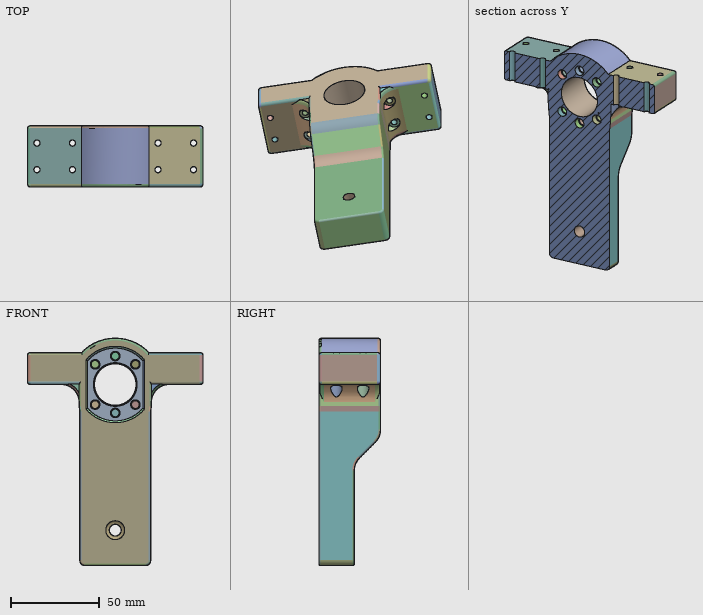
import cadquery as cq
import math

depth = 34.8
front_y = -depth / 2
back_y = depth / 2

arm_span = 99.0
arm_height = 18.0
arm_round = 1.5
arm_end_round = 1.9

head_radius = 26.2
neck_half_width = 20.4
neck_top_z = arm_height / 2
neck_bottom_z = -12.2
stem_half_width = 20.0
stem_top_z = -15.4
total_height = 128.2
stem_bottom_z = head_radius - total_height
stem_corner_radius = 3.0
stem_round = 1.0
head_round = 1.5

stem_thickness = 20.0
stem_back_y = front_y + stem_thickness
step_top_z = -29.6
step_bottom_z = step_top_z - (back_y - stem_back_y)
step_blend_radius = 10.0

web_radius = 10.0
web_half_depth = back_y - 0.6
web_flare_depth = 2.3
web_flare_height = 1.3

arm_hole_diameter = 3.3
arm_hole_inner_x = 24.1
arm_hole_outer_x = 44.1
arm_hole_y = 7.5
spotface_diameter = 6.5

bore_radius = 11.7
bore_chamfer = 0.6
pocket_half_width = 15.5
pocket_radius = 20.5
pocket_depth = 8.5
pocket_chamfer = 1.0
pocket_floor_y = front_y + pocket_depth
bolt_circle_radius = 16.0
bolt_hole_radius = 2.2
bolt_hole_depth = 11.5
bolt_counterbore_radius = 2.7
bolt_counterbore_depth = 5.1
bolt_angles = (45, 90, 135, 225, 270, 315)

mount_hole_height = 20.0
mount_hole_diameter = 6.5
mount_mouth_round = 2.0


def cylinder_y(radius, start_y, length, x=0.0, z=0.0):
    """Cylinder that runs from start_y toward +Y."""
    return cq.Workplane(cq.Solid.makeCylinder(radius, length, cq.Vector(x, start_y, z), cq.Vector(0, 1, 0)))


def cone_y(front_radius, back_radius, start_y, length):
    """Cone that runs from start_y toward +Y."""
    return cq.Workplane(
        cq.Solid.makeCone(front_radius, back_radius, length, cq.Vector(0, start_y, 0), cq.Vector(0, 1, 0))
    )


def make_head():
    """Top of the round head, down to the neck."""
    disc = cylinder_y(head_radius, front_y, depth).edges("%CIRCLE").fillet(head_round)
    keep = cq.Workplane(origin=(0, 0, neck_top_z)).box(
        2 * neck_half_width, depth, head_radius, centered=(True, True, False)
    )
    return disc.intersect(keep)


def make_stem():
    """Neck and stem, stepped at the back, with rounded front and back edges."""
    outline = (
        cq.Workplane("XZ", origin=(0, back_y, 0))
        .moveTo(-stem_half_width, stem_bottom_z)
        .lineTo(-stem_half_width, stem_top_z)
        .lineTo(-neck_half_width, neck_bottom_z)
        .lineTo(-neck_half_width, neck_top_z)
        .lineTo(neck_half_width, neck_top_z)
        .lineTo(neck_half_width, neck_bottom_z)
        .lineTo(stem_half_width, stem_top_z)
        .lineTo(stem_half_width, stem_bottom_z)
        .close()
        .extrude(depth)
        .faces("<Z")
        .edges("|Y")
        .fillet(stem_corner_radius)
    )
    relief = (
        cq.Workplane("YZ", origin=(-neck_half_width, 0, 0))
        .moveTo(back_y, step_top_z)
        .lineTo(stem_back_y, step_bottom_z)
        .lineTo(stem_back_y, stem_bottom_z)
        .lineTo(back_y, stem_bottom_z)
        .close()
        .extrude(2 * neck_half_width)
    )
    stem = outline.cut(relief)
    step_edges = cq.selectors.BoxSelector(
        (-1.3, stem_back_y - 1.3, step_bottom_z - 1.3), (1.3, back_y + 1.3, step_top_z + 1.3)
    )
    stem = stem.edges("|X").edges(step_edges).fillet(step_blend_radius)
    stem = stem.faces("<Y").edges().fillet(stem_round)
    return stem.faces(">Y").edges().fillet(stem_round)


def make_crossbar():
    bar = cq.Workplane().box(arm_span, depth, arm_height, centered=(True, True, False))
    bar = bar.edges("|Z").fillet(arm_end_round)
    return bar.faces("<Z or >Z").edges().fillet(arm_round)


def make_right_web():
    """Concave web in the corner under the +X arm, its curved edge eased toward the front and back."""
    size = web_radius + arm_round
    block = cq.Workplane().box(size, web_half_depth, size, centered=False).translate(
        (neck_half_width - arm_round, 0, -web_radius)
    )
    hollow = (
        cq.Workplane("XY")
        .lineTo(web_radius, 0)
        .lineTo(web_radius, web_half_depth - web_flare_depth)
        .tangentArcPoint((web_radius + web_flare_height, web_half_depth), relative=False)
        .lineTo(0, web_half_depth)
        .close()
        .revolve(360, (0, 0, 0), (0, 1, 0))
        .translate((neck_half_width + web_radius, 0, -web_radius))
    )
    half_web = block.cut(hollow)
    return half_web.union(half_web.mirror("XZ"))


def make_arm_holes():
    """Screw holes through both arms; the inner ones have spotfaces cut up through the webs."""
    columns = (-arm_hole_outer_x, -arm_hole_inner_x, arm_hole_inner_x, arm_hole_outer_x)
    rows = (-arm_hole_y, arm_hole_y)
    holes = (
        cq.Workplane()
        .pushPoints([(x, y) for x in columns for y in rows])
        .circle(arm_hole_diameter / 2)
        .extrude(arm_height)
    )
    spotfaces = (
        cq.Workplane()
        .pushPoints([(x, y) for x in (-arm_hole_inner_x, arm_hole_inner_x) for y in rows])
        .circle(spotface_diameter / 2)
        .extrude(-web_radius)
    )
    return holes.union(spotfaces)


def make_pocket():
    """Round pocket with two flat sides and a chamfered rim."""
    disc = cylinder_y(pocket_radius, front_y, pocket_depth)
    flats = cq.Workplane().box(2 * pocket_half_width, 2 * depth, 2 * head_radius)
    rim_disc = cone_y(pocket_radius + pocket_chamfer, pocket_radius, front_y, pocket_chamfer)
    rim_flats = (
        cq.Workplane("XY")
        .moveTo(-pocket_half_width - pocket_chamfer, front_y)
        .lineTo(pocket_half_width + pocket_chamfer, front_y)
        .lineTo(pocket_half_width, front_y + pocket_chamfer)
        .lineTo(-pocket_half_width, front_y + pocket_chamfer)
        .close()
        .extrude(head_radius, both=True)
    )
    return disc.intersect(flats).union(rim_disc.intersect(rim_flats))


def make_bore():
    bore = cylinder_y(bore_radius, pocket_floor_y, back_y - pocket_floor_y)
    return bore.union(cone_y(bore_radius + bore_chamfer, bore_radius, pocket_floor_y, bore_chamfer))


def make_bolt_hole(angle):
    x = bolt_circle_radius * math.cos(math.radians(angle))
    z = bolt_circle_radius * math.sin(math.radians(angle))
    hole = cylinder_y(bolt_hole_radius, pocket_floor_y, bolt_hole_depth, x, z)
    return hole.union(cylinder_y(bolt_counterbore_radius, pocket_floor_y, bolt_counterbore_depth, x, z))


def make_mount_hole():
    """Mounting hole through the stem that widens along a quarter round at the front face."""
    hole_radius = mount_hole_diameter / 2
    mouth_y = front_y + mount_mouth_round
    return (
        cq.Workplane("XY")
        .moveTo(0, front_y)
        .lineTo(hole_radius + mount_mouth_round, front_y)
        .radiusArc((hole_radius, mouth_y), -mount_mouth_round)
        .lineTo(hole_radius, stem_back_y)
        .lineTo(0, stem_back_y)
        .close()
        .revolve(360, (0, 0, 0), (0, 1, 0))
        .translate((0, 0, stem_bottom_z + mount_hole_height))
    )


right_web = make_right_web()
body = make_stem().union(make_head()).union(make_crossbar()).union(right_web).union(right_web.mirror("YZ"))
body = body.cut(make_arm_holes()).cut(make_pocket()).cut(make_bore())
for bolt_angle in bolt_angles:
    body = body.cut(make_bolt_hole(bolt_angle))
result = body.cut(make_mount_hole())